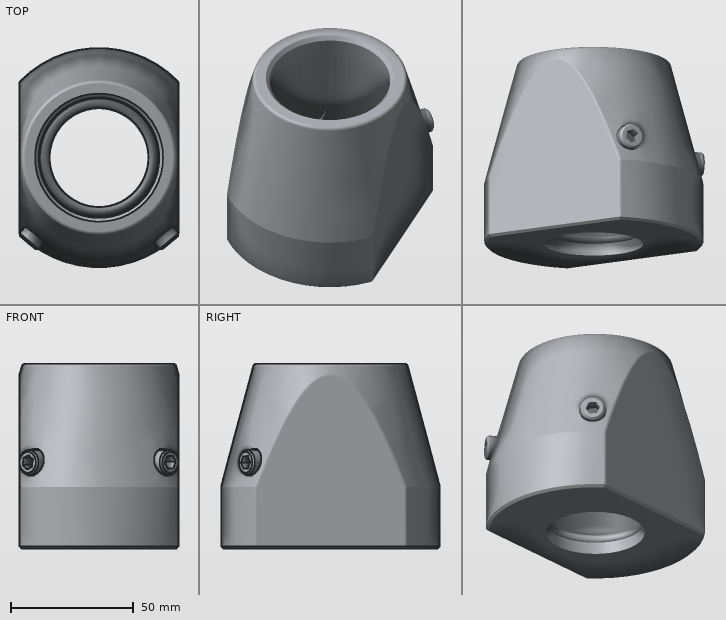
import cadquery as cq
import math

BASE_RADIUS = 44.5
BASE_HEIGHT = 25.0
HEIGHT = 75.0
TAPER_ANGLE = 15.0
WIDTH_ACROSS_FLATS = 64.63
EDGE_FILLET = 1.5
BOTTOM_CHAMFER = 1.0

SOCKET_RADIUS = 49.0 / 2
SOCKET_CHAMFER = 1.5
FLOOR_HEIGHT = 5.0
PASSAGE_RADIUS = 40.0 / 2

RING_SECTION_RADIUS = 2.0
RING_CENTRE_RADIUS = PASSAGE_RADIUS + RING_SECTION_RADIUS

SCREW_HEIGHT = 35.0
SCREW_RADIUS = 10.0 / 2
SCREW_LENGTH = 20.0
SCREW_TIP_DISTANCE = 25.0
SCREW_FACE_DISTANCE = SCREW_TIP_DISTANCE + SCREW_LENGTH
FACE_RADIUS = 8.5 / 2
HEX_ACROSS_FLATS = 5.0
HEX_DEPTH = 6.0
RECESS_RADIUS = 11.0 / 2
RECESS_FLOOR_DISTANCE = 38.0
SCREWS = [(-130.0, -8.0), (-50.0, 35.0)]


def screw_plane(direction, distance):
    """Plane across a screw axis, facing outward, with its local Y along Z."""
    angle = math.radians(direction)
    outward = cq.Vector(math.cos(angle), math.sin(angle), 0)
    origin = outward * distance + cq.Vector(0, 0, SCREW_HEIGHT)
    sideways = cq.Vector(-math.sin(angle), math.cos(angle), 0)
    return cq.Plane(origin=origin, xDir=sideways, normal=outward)


def make_blank():
    """Tapered outside of the housing with flats and blended edges."""
    top_radius = BASE_RADIUS - (HEIGHT - BASE_HEIGHT) * math.tan(math.radians(TAPER_ANGLE))
    body = (
        cq.Workplane("XZ")
        .moveTo(0, 0)
        .lineTo(BASE_RADIUS, 0)
        .lineTo(BASE_RADIUS, BASE_HEIGHT)
        .lineTo(top_radius, HEIGHT)
        .lineTo(0, HEIGHT)
        .close()
        .revolve(360, (0, 0, 0), (0, 1, 0))
    )
    slab = cq.Workplane("XY").box(
        WIDTH_ACROSS_FLATS, 2 * BASE_RADIUS, HEIGHT, centered=(True, True, False)
    )
    body = body.intersect(slab)
    bottom_edges = cq.selectors.BoxSelector(
        (-BASE_RADIUS, -BASE_RADIUS, -1), (BASE_RADIUS, BASE_RADIUS, 1)
    )
    flat_outline = cq.selectors.SubtractSelector(
        cq.selectors.SumSelector(cq.StringSyntaxSelector("<X"), cq.StringSyntaxSelector(">X")),
        bottom_edges,
    )
    body = body.edges(flat_outline).fillet(EDGE_FILLET)
    body = body.faces(">Z").edges().fillet(EDGE_FILLET)
    return body.faces("<Z").chamfer(BOTTOM_CHAMFER)


def cut_socket(body):
    """Tube socket from the top, with a lead-in chamfer and a passage through its floor."""
    socket = cq.Workplane("XY").workplane(offset=FLOOR_HEIGHT).circle(SOCKET_RADIUS)
    socket = socket.extrude(HEIGHT - FLOOR_HEIGHT)
    passage = cq.Workplane("XY").circle(PASSAGE_RADIUS).extrude(FLOOR_HEIGHT)
    body = body.cut(socket).cut(passage)
    inner_rim = cq.selectors.RadiusNthSelector(0)
    return body.faces(">Z").edges(inner_rim).chamfer(SOCKET_CHAMFER)


def screw_cylinder(direction, radius, start, end):
    """Cylinder on a screw axis between two distances from the Z axis."""
    return cq.Workplane(screw_plane(direction, start)).circle(radius).extrude(end - start)


def cut_screw_hole(body, direction):
    """Radial screw hole into the socket with a wider clearance recess at the outside."""
    hole = screw_cylinder(direction, SCREW_RADIUS, PASSAGE_RADIUS, BASE_RADIUS)
    recess = screw_cylinder(direction, RECESS_RADIUS, RECESS_FLOOR_DISTANCE, BASE_RADIUS)
    return body.cut(hole).cut(recess)


def make_housing():
    """Housing with its tube socket and screw holes."""
    body = cut_socket(make_blank())
    for direction, _ in SCREWS:
        body = cut_screw_hole(body, direction)
    return body


def make_ring():
    """Seal ring lying on the floor of the socket."""
    return (
        cq.Workplane("XZ")
        .center(RING_CENTRE_RADIUS, FLOOR_HEIGHT + RING_SECTION_RADIUS)
        .circle(RING_SECTION_RADIUS)
        .revolve(360, (-RING_CENTRE_RADIUS, 0, 0), (-RING_CENTRE_RADIUS, 1, 0))
    )


def make_screw(direction, hex_turn):
    """Grub screw with a chamfered outer face; a hexagon turn of zero puts a corner upward."""
    body = screw_cylinder(direction, SCREW_RADIUS, SCREW_TIP_DISTANCE, SCREW_FACE_DISTANCE)
    face_plane = screw_plane(direction, SCREW_FACE_DISTANCE)
    outer_face = cq.selectors.NearestToPointSelector(face_plane.origin.toTuple())
    body = body.faces(outer_face).chamfer(SCREW_RADIUS - FACE_RADIUS)
    hex_diameter = HEX_ACROSS_FLATS / math.cos(math.pi / 6)
    hex_plane = face_plane.rotated((0, 0, 90 + hex_turn))
    hexagon = cq.Workplane(hex_plane).polygon(6, hex_diameter).extrude(-HEX_DEPTH)
    return body.cut(hexagon)


housing = make_housing()
ring = make_ring()
screws = [make_screw(direction, hex_turn) for direction, hex_turn in SCREWS]

result = cq.Compound.makeCompound(
    [housing.val(), ring.val(), *[screw.val() for screw in screws]]
)